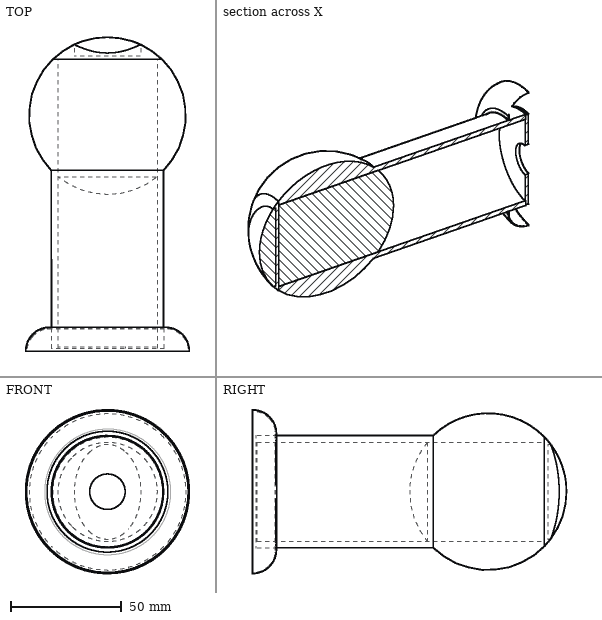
import cadquery as cq
import math

total_length = 141.8

ball_radius = 35.5
ball_center_y = total_length - ball_radius
cap_plane_y = 131.8

badge_half_width = 15.0
badge_half_height = 21.4
badge_floor_y = 133.3

tube_radius = 50.8 / 2
tube_bore_radius = 44.8 / 2
tube_start_y = 1.4

plug_radius = 50.0 / 2
plug_thickness = 2.0
plug_hole_radius = 16.0 / 2

flange_radius = 74.0 / 2
flange_height = 10.9
flange_wall = 0.5

flange_floor_radius = 56.9 / 2

ring_radius = 54.6 / 2
ring_top_y = 10.5

wall_center_r = flange_radius - flange_height
wall_inner_radius = flange_height - flange_wall
flange_floor_y = math.sqrt(wall_inner_radius**2 - (flange_floor_radius - wall_center_r) ** 2)


def cylinder(radius, y_start, y_end):
    """Solid cylinder on the Y axis."""
    return cq.Workplane("XZ", origin=(0, y_start, 0)).circle(radius).extrude(y_start - y_end)


def tubular(outer_radius, inner_radius, y_start, y_end):
    """Hollow cylinder on the Y axis."""
    return cylinder(outer_radius, y_start, y_end).cut(cylinder(inner_radius, y_start, y_end))


def full_sphere():
    return cq.Workplane("XY").sphere(ball_radius, direct=(0, 1, 0)).translate((0, ball_center_y, 0))


def badge_prism():
    """Oval prism reaching from the badge floor past the crown of the ball."""
    return (
        cq.Workplane("XZ", origin=(0, badge_floor_y, 0))
        .ellipse(badge_half_width, badge_half_height)
        .extrude(badge_floor_y - total_length)
    )


def make_body():
    """Ball and tube in one piece, bored from the tube end to the cap plane."""
    ball = full_sphere().intersect(cylinder(ball_radius, ball_center_y - ball_radius, cap_plane_y))
    tube = cylinder(tube_radius, tube_start_y, ball_center_y)
    return ball.union(tube).cut(cylinder(tube_bore_radius, tube_start_y, cap_plane_y))


def make_core():
    """Rod filling the bore of the ball, with a domed end facing the plug."""
    return full_sphere().intersect(cylinder(tube_bore_radius, ball_center_y - ball_radius, cap_plane_y))


def make_cap():
    crown = full_sphere().intersect(cylinder(ball_radius, cap_plane_y, total_length))
    return crown.cut(badge_prism())


def make_badge():
    return full_sphere().intersect(badge_prism())


def make_plug():
    """Disc covering the tube end, with a spigot in the bore and a through hole."""
    disc = cylinder(plug_radius, 0, tube_start_y)
    spigot = cylinder(tube_bore_radius, tube_start_y, plug_thickness)
    return disc.union(spigot).cut(cylinder(plug_hole_radius, 0, plug_thickness))


def make_flange():
    """Thin revolved cup with a rounded wall, a flat floor and a recess for the ring."""
    outer_angle = math.pi / 4
    outer_mid = (
        wall_center_r + flange_height * math.cos(outer_angle),
        flange_height * math.sin(outer_angle),
    )
    inner_angle = math.asin(flange_floor_y / wall_inner_radius) / 2
    inner_mid = (
        wall_center_r + wall_inner_radius * math.cos(inner_angle),
        wall_inner_radius * math.sin(inner_angle),
    )
    cup = (
        cq.Workplane("XY")
        .moveTo(tube_radius, flange_height)
        .lineTo(wall_center_r, flange_height)
        .threePointArc(outer_mid, (flange_radius, 0))
        .lineTo(flange_radius - flange_wall, 0)
        .threePointArc(inner_mid, (flange_floor_radius, flange_floor_y))
        .lineTo(tube_radius, flange_floor_y)
        .close()
        .revolve(360, (0, 0, 0), (0, 1, 0))
    )
    return cup.cut(make_ring())


def make_ring():
    return tubular(ring_radius, tube_radius, flange_floor_y, ring_top_y)


body = make_body()
core = make_core()
cap = make_cap()
badge = make_badge()
plug = make_plug()
flange = make_flange()
ring = make_ring()

result = cq.Compound.makeCompound(
    [body.val(), core.val(), cap.val(), badge.val(), plug.val(), flange.val(), ring.val()]
)